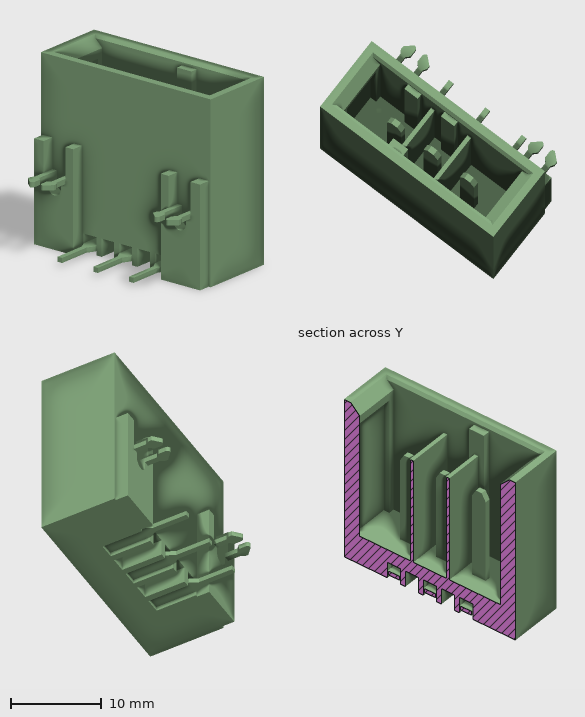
import cadquery as cq
import math

HOUSING_WIDTH = 24.16
HOUSING_DEPTH = 9.35
HOUSING_HEIGHT = 22.1
OVERALL_DEPTH = 14.65

LONG_WALL = 1.3
END_WALL = 2.2
FLOOR_TOP = 4.0
CAVITY_HALF = HOUSING_WIDTH / 2 - END_WALL
CAVITY_FRONT = LONG_WALL
CAVITY_BACK = HOUSING_DEPTH - LONG_WALL
LONG_FLARE = 0.35
END_FLARE = 1.3

POCKET_DEPTH = 0.78
POCKET_MARGIN = 0.75
POCKET_TOP = 19.75

PITCH = 5.08
CONTACT_POSITIONS = (-PITCH, 0, PITCH)
DIVIDER_THICKNESS = 0.5
DIVIDER_TOP = 18.2
TALL_RIB_TOP = 21.4
KEY_WIDTH = 2.06
KEY_DEPTH = 0.93
FRONT_RIB_WIDTH = 1.85
FRONT_RIB_DEPTH = 0.66

NOTCH_WIDTH = 1.8
NOTCH_HEIGHT = 2.15
NOTCH_POSITIONS = (-PITCH, -PITCH / 2, 0, PITCH / 2, PITCH)

BLADE_WIDTH = 1.95
BLADE_THICKNESS = 0.7
BLADE_BACK = (HOUSING_DEPTH + BLADE_THICKNESS) / 2
BLADE_TOP = 16.0
BLADE_TIP_WIDTH = 0.8
BLADE_TIP_HEIGHT = 1.0
SHANK_WIDTH = 1.65
BEND_RADIUS = 1.5
TAIL_WIDTH = 0.64
TAIL_THICKNESS = 0.6
TAIL_BOTTOM = 0.48
TAIL_REACH = OVERALL_DEPTH - HOUSING_DEPTH
TAPER_START = 0.1
TAPER_END = 1.05

CLIP_POSITION = 8.89
STANDOFF_INNER = 6.24
STANDOFF_OUTER = 11.8
STANDOFF_DEPTH = 1.53
STANDOFF_HEIGHT = 12.45
SLOT_HALF_WIDTH = 0.89
SLOT_BOTTOM = 6.4

CLIP_BOTTOM = 8.1
CLIP_THICKNESS = 0.62
LEG_OUTER = 1.55
LEG_ROOT = 0.5
LEG_LENGTH = 3.08
BARB_OUTER = 1.83
BARB_INNER = 0.48
BARB_SHOULDER = 3.5
BARB_SLOPE_START = 3.93
BARB_END = 4.78
BARB_ROUND = 0.42


def box(x_min, x_max, y_min, y_max, z_min, z_max):
    return cq.Workplane("XY").box(
        x_max - x_min, y_max - y_min, z_max - z_min, centered=False
    ).translate((x_min, y_min, z_min))


def centred_box(x, width, y_min, y_max, z_min, z_max):
    return box(x - width / 2, x + width / 2, y_min, y_max, z_min, z_max)


def flare(plane, low, high, size, half_length):
    """Prism with a trapezium section whose sides spread at 45 degrees up to the rim."""
    z_low = HOUSING_HEIGHT - size
    return (
        cq.Workplane(plane)
        .polyline([
            (low, z_low),
            (high, z_low),
            (high + size, HOUSING_HEIGHT),
            (low - size, HOUSING_HEIGHT),
        ])
        .close()
        .extrude(half_length, both=True)
    )


def lead_in():
    """Flared mouth: the end flare, limited along Y by the long-side flare and the cavity."""
    ends = flare("XZ", -CAVITY_HALF, CAVITY_HALF, END_FLARE, HOUSING_DEPTH)
    sides = flare("YZ", CAVITY_FRONT, CAVITY_BACK, LONG_FLARE, HOUSING_WIDTH)
    throat = centred_box(
        0, HOUSING_WIDTH, CAVITY_FRONT, CAVITY_BACK, HOUSING_HEIGHT - END_FLARE, HOUSING_HEIGHT
    )
    return ends.intersect(sides.union(throat))


def housing():
    half = HOUSING_WIDTH / 2
    body = box(-half, half, 0, HOUSING_DEPTH, 0, HOUSING_HEIGHT)
    cavity = box(-CAVITY_HALF, CAVITY_HALF, CAVITY_FRONT, CAVITY_BACK, FLOOR_TOP, HOUSING_HEIGHT)
    pockets = centred_box(
        0, 2 * (CAVITY_HALF + POCKET_DEPTH),
        CAVITY_FRONT + POCKET_MARGIN, CAVITY_BACK - POCKET_MARGIN, FLOOR_TOP, POCKET_TOP,
    )
    body = body.cut(cavity).cut(lead_in()).cut(pockets)
    for x in NOTCH_POSITIONS:
        body = body.cut(centred_box(x, NOTCH_WIDTH, 0, BLADE_BACK, 0, NOTCH_HEIGHT))
    return body


def cavity_ribs():
    """Two dividers, a key on the back wall and two ribs on the front wall."""
    key_x = PITCH / 2
    key_front = CAVITY_BACK - KEY_DEPTH
    ribs = centred_box(key_x, KEY_WIDTH, key_front, CAVITY_BACK, FLOOR_TOP, TALL_RIB_TOP)
    for x in (-PITCH / 2, PITCH / 2):
        divider = centred_box(
            x, DIVIDER_THICKNESS, CAVITY_FRONT, CAVITY_BACK, FLOOR_TOP, DIVIDER_TOP
        )
        ribs = ribs.union(divider)
    for x in (0, PITCH):
        rib_back = CAVITY_FRONT + FRONT_RIB_DEPTH
        rib = centred_box(x, FRONT_RIB_WIDTH, CAVITY_FRONT, rib_back, FLOOR_TOP, TALL_RIB_TOP)
        ribs = ribs.union(rib)
    return ribs


def contact():
    """L-shaped contact: tapered blade, bend and a tail that narrows outside the housing."""
    blade_front = BLADE_BACK - BLADE_THICKNESS
    tail_top = TAIL_BOTTOM + TAIL_THICKNESS
    bend_y = blade_front - BEND_RADIUS
    bend_z = tail_top + BEND_RADIUS
    diagonal = BEND_RADIUS * math.sqrt(0.5)
    side = (
        cq.Workplane("YZ")
        .moveTo(-TAIL_REACH, TAIL_BOTTOM)
        .lineTo(BLADE_BACK, TAIL_BOTTOM)
        .lineTo(BLADE_BACK, BLADE_TOP)
        .lineTo(blade_front, BLADE_TOP)
        .lineTo(blade_front, bend_z)
        .threePointArc((bend_y + diagonal, bend_z - diagonal), (bend_y, tail_top))
        .lineTo(-TAIL_REACH, tail_top)
        .close()
        .extrude(BLADE_WIDTH, both=True)
    )
    front = (
        cq.Workplane("XZ")
        .polyline([
            (-SHANK_WIDTH / 2, 0),
            (SHANK_WIDTH / 2, 0),
            (SHANK_WIDTH / 2, FLOOR_TOP),
            (BLADE_WIDTH / 2, FLOOR_TOP),
            (BLADE_WIDTH / 2, BLADE_TOP - BLADE_TIP_HEIGHT),
            (BLADE_TIP_WIDTH / 2, BLADE_TOP),
            (-BLADE_TIP_WIDTH / 2, BLADE_TOP),
            (-BLADE_WIDTH / 2, BLADE_TOP - BLADE_TIP_HEIGHT),
            (-BLADE_WIDTH / 2, FLOOR_TOP),
            (-SHANK_WIDTH / 2, FLOOR_TOP),
        ])
        .close()
        .extrude(HOUSING_DEPTH, both=True)
    )
    plan = (
        cq.Workplane("XY")
        .polyline([
            (-BLADE_WIDTH / 2, BLADE_BACK),
            (-BLADE_WIDTH / 2, -TAPER_START),
            (-SHANK_WIDTH / 2, -TAPER_START),
            (-TAIL_WIDTH / 2, -TAPER_END),
            (-TAIL_WIDTH / 2, -TAIL_REACH),
            (TAIL_WIDTH / 2, -TAIL_REACH),
            (TAIL_WIDTH / 2, -TAPER_END),
            (SHANK_WIDTH / 2, -TAPER_START),
            (BLADE_WIDTH / 2, -TAPER_START),
            (BLADE_WIDTH / 2, BLADE_BACK),
        ])
        .close()
        .extrude(HOUSING_HEIGHT)
    )
    return side.intersect(front).intersect(plan)


def standoff():
    """Right-hand standoff; its slot is wide above the clip and rounded below it."""
    block = box(STANDOFF_INNER, STANDOFF_OUTER, -STANDOFF_DEPTH, 0, 0, STANDOFF_HEIGHT)
    wide_slot = centred_box(
        CLIP_POSITION, 2 * LEG_OUTER, -STANDOFF_DEPTH, 0, CLIP_BOTTOM, STANDOFF_HEIGHT
    )
    round_z = SLOT_BOTTOM + SLOT_HALF_WIDTH
    narrow_slot = centred_box(
        CLIP_POSITION, 2 * SLOT_HALF_WIDTH, -STANDOFF_DEPTH, 0, round_z, CLIP_BOTTOM
    )
    round_end = (
        cq.Workplane("XZ")
        .center(CLIP_POSITION, round_z)
        .circle(SLOT_HALF_WIDTH)
        .extrude(STANDOFF_DEPTH)
    )
    return block.cut(wide_slot).cut(narrow_slot).cut(round_end)


def clip():
    """Pair of barbed legs of the right-hand clip, rooted in the housing wall."""
    barb_tip = BARB_INNER + BARB_ROUND
    round_start = BARB_ROUND - BARB_END
    round_inset = BARB_ROUND * (1 - math.sqrt(0.5))
    leg = (
        cq.Workplane("XY")
        .moveTo(SLOT_HALF_WIDTH, LEG_ROOT)
        .lineTo(SLOT_HALF_WIDTH, -LEG_LENGTH)
        .lineTo(BARB_INNER, -BARB_SHOULDER)
        .lineTo(BARB_INNER, round_start)
        .threePointArc((BARB_INNER + round_inset, round_inset - BARB_END), (barb_tip, -BARB_END))
        .lineTo(BARB_OUTER, -BARB_SLOPE_START)
        .lineTo(BARB_OUTER, -BARB_SHOULDER)
        .lineTo(LEG_OUTER, -LEG_LENGTH)
        .lineTo(LEG_OUTER, LEG_ROOT)
        .close()
        .extrude(CLIP_THICKNESS)
    )
    return leg.union(leg.mirror("YZ")).translate((CLIP_POSITION, 0, CLIP_BOTTOM))


right_mount = standoff().union(clip())
result = housing().union(cavity_ribs()).union(right_mount).union(right_mount.mirror("YZ"))
for contact_x in CONTACT_POSITIONS:
    result = result.union(contact().translate((contact_x, 0, 0)))